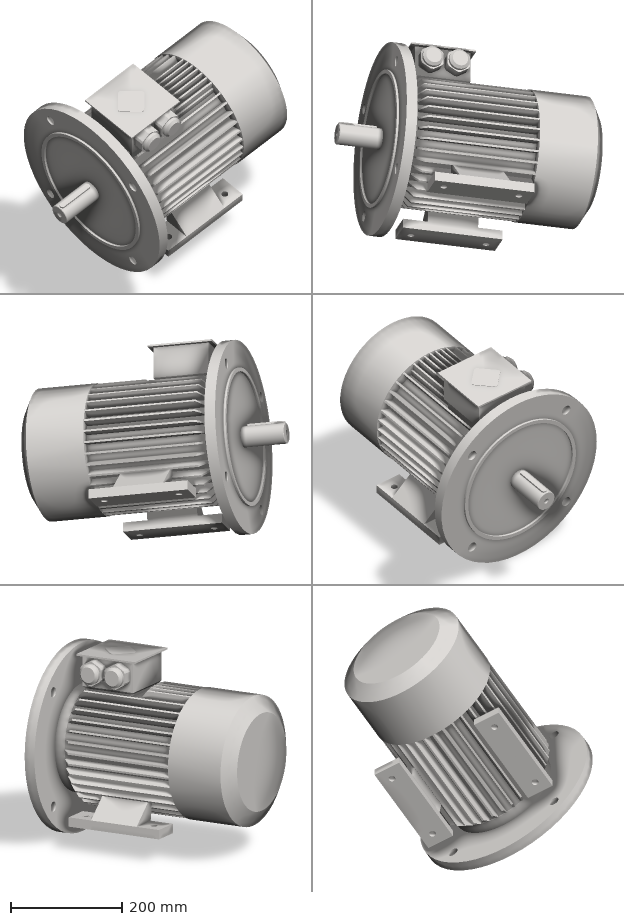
import cadquery as cq
import math


flange_diameter = 350.0
flange_thickness = 20.0
spigot_diameter = 250.0
spigot_height = 4.0
spigot_recess_diameter = 236.0
spigot_recess_depth = 4.0
flange_hole_diameter = 19.0
flange_bolt_circle = 300.0
flange_hole_count = 4
first_flange_hole_angle = 45

overall_length = 470.0
shaft_diameter = 38.0
shaft_tip_y = -80.5
shaft_chamfer = 1.0
key_width = 10.0
key_top_z = 22.0
key_front_y = -78.0
key_back_y = -5.5
centre_hole_diameter = 10.5
centre_hole_depth = 19.0

neck_diameter = 200.0
neck_back_y = 40.0
core_diameter = 197.0

buried_base_z = 56.5

cover_diameter = 240.0
cover_front_y = 264.0
cover_taper_y = 372.2
cover_back_y = overall_length + shaft_tip_y
cover_end_diameter = 180.5

fin_tip_diameter = 238.0
fin_root_overlap = 4.5
fin_root_radius = core_diameter / 2 - fin_root_overlap
fin_thickness = 3.8
fin_pitch_angle = 10
first_fin_angle = 120
last_fin_angle = 420
fin_front_y = 43.0
fin_bevel = 14.0

pad_width = 84.0
pad_top_z = 99.5
pad_front_y = 47.0
upright_fin_count = 7
upright_fin_pitch = 12.0
upright_fin_thickness = 3.5
upright_fin_front_y = 165.5
upright_fin_bevel = 10.0

box_centre_y = 102.0
box_side = 104.0
box_bevel = 4.5
box_bevel_top_z = 109.5
lid_side = 120.5
lid_bottom_z = 166.5
lid_top_z = 169.5
badge_centre_y = 98.5
badge_side = 47.5
badge_height = 1.0
badge_corner_radius = 5.5
badge_turn_angle = 45

gland_pitch = 49.5
gland_axis_z = 139.5
gland_hex_across_flats = 42.0
gland_hex_corner_diameter = 45.5
gland_hex_end_x = 71.5
gland_cap_diameter = 38.0
gland_cap_end_x = 82.0
gland_cap_chamfer = 4.5

foot_outer_x = 130.0
foot_width = 51.0
foot_bottom_z = -131.5
foot_thickness = 17.5
foot_centre_y = 158.5
foot_length = 185.5
foot_hole_diameter = 12.0
foot_hole_x = 107.5
foot_hole_pitch = 140.0
web_length = 94.0
web_angle = 41
web_inner_x = 70.5


def cylinder(diameter, start_y, end_y):
    """Solid cylinder on the motor axis between two Y positions."""
    plane = cq.Plane(origin=(0, start_y, 0), xDir=(1, 0, 0), normal=(0, 1, 0))
    return cq.Workplane(plane).circle(diameter / 2).extrude(end_y - start_y)


def block(x_range, y_range, z_range):
    """Box spanning the given (low, high) ranges."""
    low, high = zip(x_range, y_range, z_range)
    sizes = [b - a for a, b in zip(low, high)]
    return cq.Workplane("XY").box(*sizes, centered=False).translate(low)


def revolve_about_y(points):
    """Solid of revolution about the motor axis from (radius, y) points."""
    return cq.Workplane("XY").polyline(points).close().revolve(360, (0, 0), (0, 1))


def fin_envelope(front_y, bevel):
    """Turned volume that limits the fin tips and bevels their front ends."""
    tip_radius = fin_tip_diameter / 2
    return revolve_about_y([
        (0, front_y),
        (tip_radius - bevel, front_y),
        (tip_radius, front_y + bevel),
        (tip_radius, cover_front_y),
        (0, cover_front_y),
    ])


def make_housing():
    core = cylinder(core_diameter, flange_thickness, cover_front_y)
    neck = cylinder(neck_diameter, flange_thickness, neck_back_y)
    cover = revolve_about_y([
        (0, cover_front_y),
        (cover_diameter / 2, cover_front_y),
        (cover_diameter / 2, cover_taper_y),
        (cover_end_diameter / 2, cover_back_y),
        (0, cover_back_y),
    ])
    return core.union(neck).union(cover)


def make_radial_fins():
    half = fin_thickness / 2
    blank = block((fin_root_radius, cover_diameter / 2), (fin_front_y, cover_front_y), (-half, half))
    fins = cq.Workplane("XY")
    for angle in range(first_fin_angle, last_fin_angle + 1, fin_pitch_angle):
        fins.add(blank.rotate((0, 0, 0), (0, -1, 0), angle))
    fins = fins.combine()
    return fins.intersect(fin_envelope(fin_front_y, fin_bevel))


def make_upright_fins():
    half = upright_fin_thickness / 2
    fins = cq.Workplane("XY")
    for index in range(upright_fin_count):
        x = (index - (upright_fin_count - 1) / 2) * upright_fin_pitch
        fins.add(block((x - half, x + half), (upright_fin_front_y, cover_front_y),
                       (buried_base_z, fin_tip_diameter / 2)))
    fins = fins.combine()
    return fins.intersect(fin_envelope(upright_fin_front_y, upright_fin_bevel))


def make_pad():
    return block((-pad_width / 2, pad_width / 2), (pad_front_y, cover_front_y), (buried_base_z, pad_top_z))


def make_flange():
    flange = cylinder(flange_diameter, 0, flange_thickness)
    flange = flange.union(cylinder(spigot_diameter, -spigot_height, 0))
    recess = cylinder(spigot_recess_diameter, -spigot_height, spigot_recess_depth - spigot_height)
    holes = (
        cq.Workplane("XZ")
        .polarArray(flange_bolt_circle / 2, first_flange_hole_angle, 360, flange_hole_count)
        .circle(flange_hole_diameter / 2)
        .extrude(-flange_thickness)
    )
    return flange.cut(recess).cut(holes)


def make_shaft():
    shaft = cylinder(shaft_diameter, shaft_tip_y, 0).faces("<Y").chamfer(shaft_chamfer)
    key = (
        cq.Workplane("XY")
        .center(0, (key_front_y + key_back_y) / 2)
        .slot2D(key_back_y - key_front_y, key_width, 90)
        .extrude(key_top_z)
    )
    bore_radius = centre_hole_diameter / 2
    bore_end_y = shaft_tip_y + centre_hole_depth
    centre_hole = revolve_about_y([
        (0, shaft_tip_y),
        (bore_radius, shaft_tip_y),
        (bore_radius, bore_end_y),
        (0, bore_end_y + bore_radius),
    ])
    return shaft.union(key).cut(centre_hole)


def make_terminal_box():
    stem_side = box_side - 2 * box_bevel
    bevel_bottom_z = box_bevel_top_z - box_bevel
    stem = (
        cq.Workplane("XY", origin=(0, box_centre_y, buried_base_z))
        .rect(stem_side, stem_side)
        .extrude(bevel_bottom_z - buried_base_z)
    )
    body = (
        cq.Workplane("XY", origin=(0, box_centre_y, bevel_bottom_z))
        .rect(box_side, box_side)
        .extrude(lid_bottom_z - bevel_bottom_z)
        .faces("<Z")
        .chamfer(box_bevel)
    )
    lid = (
        cq.Workplane("XY", origin=(0, box_centre_y, lid_bottom_z))
        .rect(lid_side, lid_side)
        .extrude(lid_top_z - lid_bottom_z)
    )
    badge = (
        cq.Workplane("XY")
        .rect(badge_side, badge_side)
        .extrude(badge_height)
        .edges("|Z")
        .fillet(badge_corner_radius)
        .rotate((0, 0, 0), (0, 0, 1), badge_turn_angle)
        .translate((0, badge_centre_y, lid_top_z))
    )
    return stem.union(body).union(lid).union(badge)


def make_gland(y):
    """Hexagon with one corner up and its corners turned round, followed by a round cap."""
    start_x = box_side / 2
    hex_length = gland_hex_end_x - start_x
    base = cq.Workplane("YZ", origin=(start_x, y, gland_axis_z)).transformed(rotate=(0, 0, 90))
    hexagon = base.polygon(6, gland_hex_across_flats / math.cos(math.radians(30))).extrude(hex_length)
    corner_limit = base.circle(gland_hex_corner_diameter / 2).extrude(hex_length)
    hexagon = hexagon.intersect(corner_limit)
    cap = (
        cq.Workplane("YZ", origin=(gland_hex_end_x, y, gland_axis_z))
        .circle(gland_cap_diameter / 2)
        .extrude(gland_cap_end_x - gland_hex_end_x)
        .faces(">X")
        .chamfer(gland_cap_chamfer)
    )
    return hexagon.union(cap)


def make_foot():
    """Foot on the +X side: drilled plate with a sloped web up to the core."""
    inner_x = foot_outer_x - foot_width
    top_z = foot_bottom_z + foot_thickness
    plate = (
        cq.Workplane("XY", origin=(foot_outer_x - foot_width / 2, foot_centre_y, foot_bottom_z))
        .rect(foot_width, foot_length)
        .extrude(foot_thickness)
    )
    holes = (
        cq.Workplane("XY", origin=(foot_hole_x, foot_centre_y, foot_bottom_z))
        .rarray(4.5, foot_hole_pitch, 1, 2)
        .circle(foot_hole_diameter / 2)
        .extrude(foot_thickness)
    )
    web_top_z = top_z + (foot_outer_x - web_inner_x) * math.tan(math.radians(web_angle))
    web = (
        cq.Workplane("XZ", origin=(0, foot_centre_y, 0))
        .polyline([(foot_outer_x, top_z), (web_inner_x, web_top_z), (inner_x, top_z)])
        .close()
        .extrude(web_length / 2, both=True)
    )
    return plate.cut(holes).union(web)


foot = make_foot()

result = (
    make_housing()
    .union(make_radial_fins())
    .union(make_pad())
    .union(make_upright_fins())
    .union(make_flange())
    .union(make_shaft())
    .union(make_terminal_box())
    .union(foot)
    .union(foot.mirror("YZ"))
)
for side in (-1, 1):
    result = result.union(make_gland(box_centre_y + side * gland_pitch / 2))